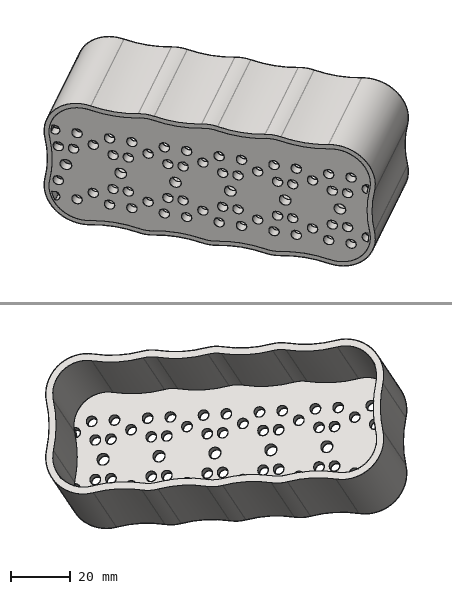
import cadquery as cq
import math

LENGTH = 115.1
DEPTH = 40.6
HEIGHT = 49.0

LOBES_LONG = 5
LOBES_SHORT = 2
LOBE_PITCH = (LENGTH - HEIGHT) / (LOBES_LONG - LOBES_SHORT)
LOBE_RADIUS = (HEIGHT - (LOBES_SHORT - 1) * LOBE_PITCH) / 2
LOBE_HALF_WIDTH = 2.8
VALLEY_HALF_WIDTH = LOBE_PITCH / 2 - LOBE_HALF_WIDTH
VALLEY_RADIUS = LOBE_RADIUS * VALLEY_HALF_WIDTH / LOBE_HALF_WIDTH
TANGENT_ANGLE = math.asin(LOBE_HALF_WIDTH / LOBE_RADIUS)

RIM_WIDTH = 1.7
LEDGE_WIDTH = 0.7
CAVITY_INSET = RIM_WIDTH + LEDGE_WIDTH
PLATE_THICKNESS = 3.5

COLUMNS = 6
COLUMN_SPAN = 95.2
COLUMN_PITCH = COLUMN_SPAN / (COLUMNS - 1)
FIRST_COLUMN_X = -50.0
PATTERN_Z = -1.3
CENTRE_HOLE_DIAMETER = 4.0
SMALL_HOLE_DIAMETER = 3.6
INNER_HOLE_X = 2.6
INNER_HOLE_Z = 6.9
MIDDLE_HOLE_Z = 9.8
OUTER_HOLE_X = 5.6
OUTER_HOLE_Z = 13.5


def shifted(point, distance, angle):
    """Point moved by a distance in the direction of the angle."""
    return (point[0] + distance * math.cos(angle), point[1] + distance * math.sin(angle))


def wavy_prism(inset, front, back):
    """Solid with the wavy outline moved inwards by inset, from Y = front to Y = back."""
    quarter = math.pi / 2
    lobe_radius = LOBE_RADIUS - inset
    valley_radius = VALLEY_RADIUS + inset
    valley_reach = (LOBE_RADIUS + VALLEY_RADIUS) * math.cos(TANGENT_ANGLE) - valley_radius

    lobe = (-LOBE_PITCH * (LOBES_LONG - 1) / 2, LOBE_PITCH * (LOBES_SHORT - 1) / 2)
    outward = quarter
    start = shifted(lobe, lobe_radius, outward - TANGENT_ANGLE)
    outline = cq.Workplane("XZ", origin=(0, front, 0)).moveTo(*start)

    for lobes in (LOBES_LONG, LOBES_SHORT, LOBES_LONG, LOBES_SHORT):
        along = outward - quarter
        for step in range(1, lobes):
            valley = shifted(shifted(lobe, LOBE_PITCH / 2, along), valley_reach, outward)
            lobe = shifted(lobe, LOBE_PITCH, along)
            turn = quarter if step == lobes - 1 else 0.0
            lobe_start = shifted(lobe, lobe_radius, outward + TANGENT_ANGLE)
            lobe_middle = shifted(lobe, lobe_radius, outward - turn / 2)
            lobe_end = shifted(lobe, lobe_radius, outward - turn - TANGENT_ANGLE)
            outline = outline.threePointArc(valley, lobe_start)
            outline = outline.threePointArc(lobe_middle, lobe_end)
        outward -= quarter

    return outline.close().extrude(front - back)


def round_holes(points, diameter):
    """Cutters for round holes through the whole plate."""
    face = cq.Workplane("XZ").pushPoints(points)
    return face.circle(diameter / 2).extrude(-PLATE_THICKNESS)


def centre_hole_points():
    """One large hole in each column."""
    return [(FIRST_COLUMN_X + i * COLUMN_PITCH, PATTERN_Z) for i in range(COLUMNS)]


def inner_hole_points():
    """Four small holes around each centre hole; the first column lacks its lower right one."""
    points = []
    for i in range(COLUMNS):
        x = FIRST_COLUMN_X + i * COLUMN_PITCH
        for side in (-1, 1):
            for level in (-1, 1):
                if (i, side, level) != (0, 1, -1):
                    points.append((x + side * INNER_HOLE_X, PATTERN_Z + level * INNER_HOLE_Z))
    return points


def outer_hole_points():
    """Three small holes above and three below, before, between and after the columns."""
    points = []
    for i in range(COLUMNS + 1):
        x = FIRST_COLUMN_X + (i - 0.5) * COLUMN_PITCH
        for level in (-1, 1):
            points.append((x, PATTERN_Z + level * MIDDLE_HOLE_Z))
            for side in (-1, 1):
                points.append((x + side * OUTER_HOLE_X, PATTERN_Z + level * OUTER_HOLE_Z))
    return points


def make_housing():
    """Wavy tube with a seat for the plate at the front."""
    body = wavy_prism(0, 0, DEPTH)
    plate_seat = wavy_prism(RIM_WIDTH, 0, PLATE_THICKNESS)
    cavity = wavy_prism(CAVITY_INSET, PLATE_THICKNESS, DEPTH)
    return body.cut(plate_seat).cut(cavity)


def make_plate():
    """Perforated plate, flush with the front of the housing."""
    blank = wavy_prism(RIM_WIDTH, 0, PLATE_THICKNESS)
    centre_holes = round_holes(centre_hole_points(), CENTRE_HOLE_DIAMETER)
    small_holes = round_holes(inner_hole_points() + outer_hole_points(), SMALL_HOLE_DIAMETER)
    hole_zone = wavy_prism(CAVITY_INSET, 0, PLATE_THICKNESS)
    return blank.cut(centre_holes).cut(small_holes.intersect(hole_zone))


housing = make_housing()
plate = make_plate()

result = cq.Compound.makeCompound([housing.val(), plate.val()])